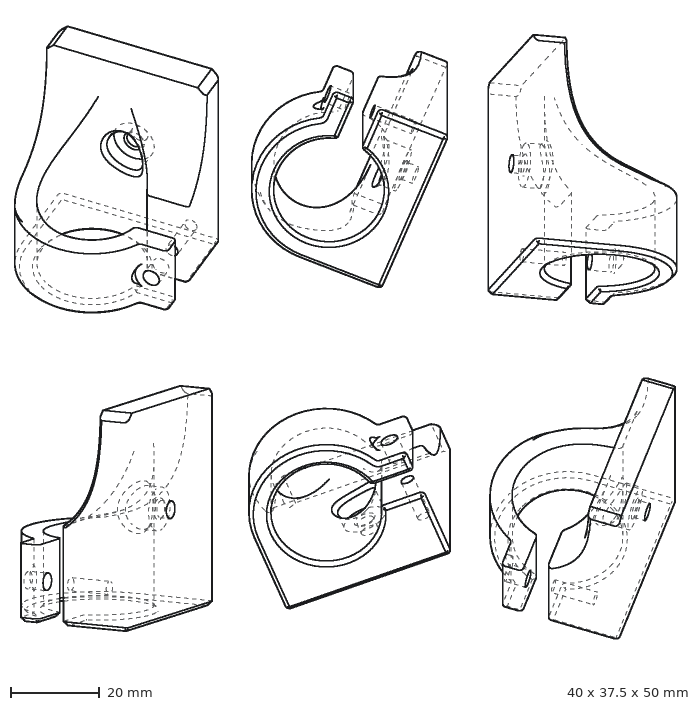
import cadquery as cq
import math

width = 40.0
height = 50.0
plate_thickness = 7.5
top_corner_chamfer = 2.0

bore_radius = 12.5
wall = 5.0
ring_radius = bore_radius + wall
ring_x = -width / 2 + ring_radius
ring_y = -(plate_thickness + bore_radius)
clamp_height = 18.0

slot_width = 6.0
slot_back_y = ring_y + slot_width / 2
slot_front_y = ring_y - slot_width / 2
lug_front_y = slot_front_y - wall

corner_radius = 1.0
bottom_chamfer = 1.0

bore_overlap = 0.1
saddle_start = (-plate_thickness, height)
saddle_end = (ring_y - bore_radius + bore_overlap, clamp_height)
saddle_upper_pull = (-plate_thickness, 27.0)
saddle_lower_pull = (-14.5, 20.4)
saddle_edge_radius = 1.0
saddle_overhang = 0.02

mount_z = height / 2
mount_diameter = 4.0
mount_edge_chamfer = 0.5
head_diameter = 10.0
head_edge_chamfer = 1.0
head_seat_y = -3.0

screw_x = width / 2 - 4.0
screw_z = clamp_height / 2
clearance_diameter = 4.0
thread_diameter = 3.0
thread_depth = 10.0
spotface_diameter = 8.0

margin = 5.0


def box(x_range, y_range, z_range):
    """Axis-aligned box between pairs of limits."""
    size = [limits[1] - limits[0] for limits in (x_range, y_range, z_range)]
    origin = (x_range[0], y_range[0], z_range[0])
    return cq.Workplane("XY").box(*size, centered=False).translate(origin)


def cylinder_z(radius):
    """Full-height cylinder on the ring axis."""
    return cq.Workplane("XY").center(ring_x, ring_y).circle(radius).extrude(height)


def cylinder_y(x, z, diameter, y_back, y_front):
    """Cylinder along Y, from y_back forward to y_front."""
    plane = cq.Workplane("XZ", origin=(x, y_back, z))
    return plane.circle(diameter / 2).extrude(y_back - y_front)


def split_ring_prism():
    """Full-height prism of the plan outline, with rounded corners and a chamfered base."""
    half = width / 2
    prism = box((-half, half), (ring_y, 0), (0, height))
    prism = prism.union(cylinder_z(ring_radius))
    prism = prism.union(box((ring_x, half), (lug_front_y, ring_y), (0, height)))
    prism = prism.cut(cylinder_z(bore_radius))
    prism = prism.cut(box((ring_x, half + margin), (slot_front_y, slot_back_y), (0, height)))
    lug_root_x = ring_x + math.sqrt(ring_radius**2 - (lug_front_y - ring_y) ** 2)
    slot_mouth_x = ring_x + math.sqrt(bore_radius**2 - (slot_width / 2) ** 2)
    corners = [
        (-half, 0),
        (half, 0),
        (half, slot_back_y),
        (half, slot_front_y),
        (half, lug_front_y),
        (slot_mouth_x, slot_back_y),
        (slot_mouth_x, slot_front_y),
        (lug_root_x, lug_front_y),
    ]
    for x, y in corners:
        corner = cq.selectors.NearestToPointSelector((x, y, height / 2))
        prism = prism.edges(corner).fillet(corner_radius)
    return prism.faces("<Z").edges().chamfer(bottom_chamfer)


def saddle_body():
    """Body under the saddle curve with rounded outer edges, left open above the lug."""
    half = width / 2 + saddle_overhang
    rim_radius = ring_radius + saddle_overhang
    front_y = ring_y - rim_radius
    body = (
        cq.Workplane("XY")
        .moveTo(-half, 0)
        .lineTo(-half, ring_y)
        .radiusArc((ring_x, front_y), -rim_radius)
        .lineTo(half, front_y)
        .lineTo(half, 0)
        .close()
        .extrude(height)
    )

    end_slope = (saddle_end[1] - saddle_lower_pull[1]) / (saddle_end[0] - saddle_lower_pull[0])
    run_out_y = front_y - margin
    run_out_z = saddle_end[1] + end_slope * (run_out_y - saddle_end[0])
    scoop = (
        cq.Workplane("YZ", origin=(-half - margin, 0, 0))
        .moveTo(*saddle_start)
        .bezier([saddle_start, saddle_upper_pull, saddle_lower_pull, saddle_end])
        .lineTo(run_out_y, run_out_z)
        .lineTo(run_out_y, height)
        .close()
        .extrude(width + 2 * margin)
    )
    body = body.cut(scoop)

    rims = cq.selectors.BoxSelector(
        (-half - margin, ring_y, clamp_height),
        (half + margin, -plate_thickness, height - margin),
    )
    body = body.edges(rims).fillet(saddle_edge_radius)
    return body.cut(box((ring_x, half), (front_y, ring_y), (0, height)))


def clamp_body():
    """Ring and lug up to the clamp height, joined to the saddle and the plate."""
    half = width / 2
    prism = split_ring_prism()
    upper_zone = box((-half, half), (ring_y - ring_radius, 0), (clamp_height, height))
    ring = prism.cut(upper_zone)
    saddle = prism.intersect(upper_zone.intersect(saddle_body()))
    return ring.union(saddle)


def cut_top_corners(body):
    """Bevel both upper corners of the plate."""
    for side in (-1, 1):
        bevel = (
            cq.Workplane("XZ")
            .moveTo(side * width / 2, height)
            .lineTo(side * (width / 2 - top_corner_chamfer), height)
            .lineTo(side * width / 2, height - top_corner_chamfer)
            .close()
            .extrude(-ring_y)
        )
        body = body.cut(bevel)
    return body


def cut_mounting_hole(body):
    """Through hole and screw-head counterbore, both with chamfered rims."""
    body = body.cut(cylinder_y(0, mount_z, mount_diameter, 0, head_seat_y))
    body = body.cut(cylinder_y(0, mount_z, head_diameter, head_seat_y, ring_y))
    seat_cone = cq.Solid.makeCone(
        mount_diameter / 2 + mount_edge_chamfer,
        mount_diameter / 2,
        mount_edge_chamfer,
        cq.Vector(0, head_seat_y, mount_z),
        cq.Vector(0, 1, 0),
    )
    body = body.cut(cq.Workplane(seat_cone))
    head_rim = cq.selectors.NearestToPointSelector((0, -plate_thickness, mount_z + head_diameter / 2))
    return body.edges(head_rim).chamfer(head_edge_chamfer)


def cut_clamp_screw(body):
    """Spotface and clearance hole in the lug, blind hole behind the slot."""
    front_y = ring_y - ring_radius
    thread_end_y = slot_back_y + thread_depth
    body = body.cut(cylinder_y(screw_x, screw_z, spotface_diameter, lug_front_y, front_y))
    body = body.cut(cylinder_y(screw_x, screw_z, clearance_diameter, slot_back_y, lug_front_y))
    return body.cut(cylinder_y(screw_x, screw_z, thread_diameter, thread_end_y, slot_back_y))


result = cut_clamp_screw(cut_mounting_hole(cut_top_corners(clamp_body())))